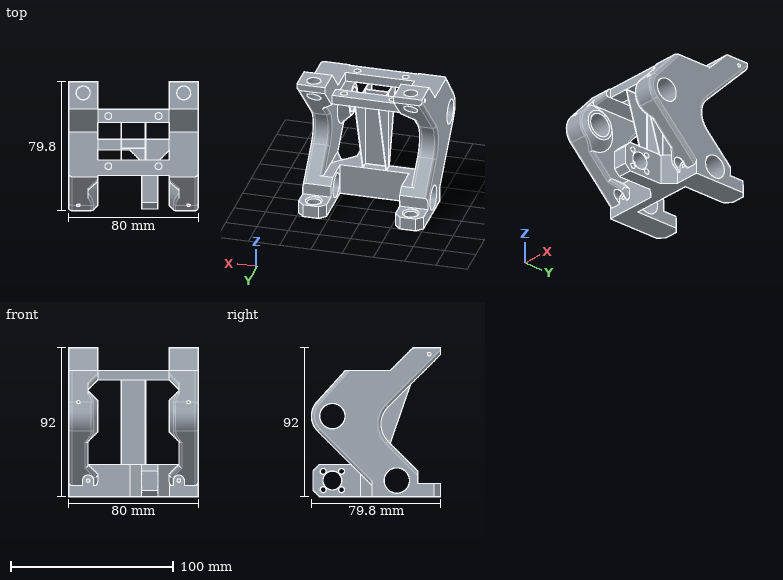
import cadquery as cq
import math

DIAGONAL = math.sqrt(2)
TOLERANCE = 0.01
CUT_LENGTH = 100.0

HALF_WIDTH = 40.0
ARM_INNER_X = 22.0
ARM_WIDTH = HALF_WIDTH - ARM_INNER_X
TOTAL_HEIGHT = 92.0
BACK_Y = 27.0
EDGE_RADIUS = 2.0

LOWER_BORE_Y = 0.0
LOWER_BORE_Z = 10.0
BORE_STEP = 39.75
UPPER_BORE_Y = LOWER_BORE_Y - BORE_STEP
UPPER_BORE_Z = LOWER_BORE_Z + BORE_STEP
BORE_DIAMETER = 15.5
BOSS_RADIUS = 13.0
LIMB_BACK_OFFSET = 13.3

BASE_FRONT_Y = -15.25
DECK_Z = 78.0
DECK_FRONT_Y = -31.75
STRUT_FRONT_Y = 10.0
STRUT_THICKNESS = 15.0
WAIST_RADIUS = 15.0
FOOT_START_Y = 13.0
FOOT_HEIGHT = 8.25
FOOT_CHAMFER = 4.0

LIMB_FRONT_SUM = LOWER_BORE_Y + LOWER_BORE_Z - BOSS_RADIUS * DIAGONAL
LIMB_BACK_SUM = LOWER_BORE_Y + LOWER_BORE_Z + LIMB_BACK_OFFSET * DIAGONAL
STRUT_FRONT_RISE = TOTAL_HEIGHT - STRUT_FRONT_Y
STRUT_BACK_RISE = STRUT_FRONT_RISE - STRUT_THICKNESS * DIAGONAL
WAIST_CORNER_Y = (LIMB_BACK_SUM - STRUT_BACK_RISE) / 2
WAIST_CORNER_Z = (LIMB_BACK_SUM + STRUT_BACK_RISE) / 2
WAIST_FRONT_Y = WAIST_CORNER_Y + WAIST_RADIUS * (DIAGONAL - 1)

LIMB_TANGENT_ANGLE = 225
FRONT_ANGLE = 180
BROW_TANGENT_ANGLE = math.degrees(
    math.atan2(DECK_Z - UPPER_BORE_Z, DECK_FRONT_Y - UPPER_BORE_Y)
    + math.acos(BOSS_RADIUS / math.hypot(DECK_Z - UPPER_BORE_Z, DECK_FRONT_Y - UPPER_BORE_Y))
)

POCKET_DEPTH = 6.0
POCKET_X = ARM_INNER_X + POCKET_DEPTH
BOSS_FACE_RADIUS = 9.75

BASE_HEIGHT = 20.0
BASE_BACK_Y = -8.5
BAR_BOTTOM_Z = 72.0
FRONT_BAR_Y = (-31.0, -21.25)
REAR_BAR_Y = (1.75, STRUT_FRONT_Y)
BAR_HOLE_SPACING = 31.0
BAR_HOLE_REAR_Y = 5.75
BAR_HOLE_DIAMETER = 4.2
BAR_HOLE_DEPTH = 5.0

WEB_WIDTH = 15.5
WEB_WALL = 0.5
WEB_BACK_Y = 9.5
WEB_PANEL_Y = -14.1

BLOCK_X = (5.0, 15.0)
BLOCK_FRONT_Y = -51.75
BLOCK_CHAMFER = 4.0
BLOCK_BORE_DIAMETER = 11.5
BLOCK_SCREW_CIRCLE = 16.0
BLOCK_SCREW_DIAMETER = 3.5
BLOCK_SCREW_COUNT = 4
BLOCK_SCREW_START_ANGLE = 45
GUSSET_LEG = 7.25

ROD_X = (ARM_INNER_X + HALF_WIDTH) / 2
ROD_Y = 20.0
STRUT_ROD_DIAMETER = 8.6
FOOT_ROD_DIAMETER = 8.4
FOOT_ROD_DEPTH = 7.0
FOOT_ROD_CHAMFER = 1.0

SCREW_DIAMETER = 2.2
ROD_SCREW_Z = 88.0
UPPER_SCREW_X = 34.0
LOWER_SCREW_X = 28.0
SCREW_SEAT_RADIUS = 3.4


def boss_point(angle):
    """Point (y, z) on the round outline about the upper bore."""
    turn = math.radians(angle)
    return (UPPER_BORE_Y + BOSS_RADIUS * math.cos(turn), UPPER_BORE_Z + BOSS_RADIUS * math.sin(turn))


def box(x, y, z):
    """Box between (low, high) pairs along each axis."""
    size = (x[1] - x[0], y[1] - y[0], z[1] - z[0])
    return cq.Workplane("XY", origin=(x[0], y[0], z[0])).box(*size, centered=False)


def cylinder(diameter, length, start, direction):
    solid = cq.Solid.makeCylinder(diameter / 2, length, cq.Vector(*start), cq.Vector(*direction))
    return cq.Workplane(obj=solid)


def arm_blank():
    leg = WAIST_RADIUS / DIAGONAL
    return (
        cq.Workplane("YZ", origin=(ARM_INNER_X, 0, 0))
        .moveTo(BACK_Y, 0)
        .lineTo(BASE_FRONT_Y, 0)
        .lineTo(BASE_FRONT_Y, LIMB_FRONT_SUM - BASE_FRONT_Y)
        .lineTo(*boss_point(LIMB_TANGENT_ANGLE))
        .threePointArc(boss_point(FRONT_ANGLE), boss_point(BROW_TANGENT_ANGLE))
        .lineTo(DECK_FRONT_Y, DECK_Z)
        .lineTo(DECK_Z - STRUT_FRONT_RISE, DECK_Z)
        .lineTo(STRUT_FRONT_Y, TOTAL_HEIGHT)
        .lineTo(BACK_Y, TOTAL_HEIGHT)
        .lineTo(BACK_Y, BACK_Y + STRUT_BACK_RISE)
        .lineTo(WAIST_CORNER_Y + leg, WAIST_CORNER_Z + leg)
        .threePointArc((WAIST_FRONT_Y, WAIST_CORNER_Z), (WAIST_CORNER_Y + leg, WAIST_CORNER_Z - leg))
        .lineTo(FOOT_START_Y, LIMB_BACK_SUM - FOOT_START_Y)
        .lineTo(FOOT_START_Y, FOOT_HEIGHT)
        .lineTo(BACK_Y, FOOT_HEIGHT)
        .close()
        .extrude(ARM_WIDTH)
    )


def arm_pocket():
    """Recess in the inner side, leaving a cone around the upper bore."""
    recess = (
        cq.Workplane("XZ")
        .moveTo(ARM_INNER_X, BASE_HEIGHT)
        .lineTo(POCKET_X, BASE_HEIGHT)
        .lineTo(POCKET_X, BAR_BOTTOM_Z - POCKET_DEPTH)
        .lineTo(ARM_INNER_X, BAR_BOTTOM_Z)
        .close()
        .extrude(CUT_LENGTH, both=True)
    )
    sloped_floor = (
        cq.Workplane("XZ", origin=(0, BASE_FRONT_Y + POCKET_DEPTH, 0))
        .moveTo(ARM_INNER_X, BASE_HEIGHT - POCKET_DEPTH)
        .lineTo(POCKET_X, BASE_HEIGHT)
        .lineTo(ARM_INNER_X, BASE_HEIGHT)
        .close()
        .extrude(CUT_LENGTH)
    )
    cone = cq.Solid.makeCone(
        BOSS_FACE_RADIUS,
        BOSS_FACE_RADIUS + POCKET_DEPTH,
        POCKET_DEPTH,
        cq.Vector(ARM_INNER_X, UPPER_BORE_Y, UPPER_BORE_Z),
        cq.Vector(1, 0, 0),
    )
    return recess.union(sloped_floor).cut(cq.Workplane(obj=cone))


def rim_points():
    """A point on each sloping or round rim face of the arm, outside the pocket."""
    x = (POCKET_X + HALF_WIDTH) / 2
    limb_y, limb_z = boss_point(LIMB_TANGENT_ANGLE)
    brow_y, brow_z = boss_point(BROW_TANGENT_ANGLE)
    strut_y = (BACK_Y + WAIST_CORNER_Y) / 2
    limb_back_y = (FOOT_START_Y + WAIST_CORNER_Y + WAIST_RADIUS / DIAGONAL) / 2
    limb_front_y = (limb_y + BASE_FRONT_Y) / 2
    return {
        "limb front": (x, limb_front_y, LIMB_FRONT_SUM - limb_front_y),
        "boss": (x, *boss_point(FRONT_ANGLE)),
        "brow": (x, (brow_y + DECK_FRONT_Y) / 2, (brow_z + DECK_Z) / 2),
        "waist": (x, WAIST_FRONT_Y, WAIST_CORNER_Z),
        "strut back": (x, strut_y, strut_y + STRUT_BACK_RISE),
        "limb back": (x, limb_back_y, LIMB_BACK_SUM - limb_back_y),
    }


def rim_edges(body, point, x_low, x_high):
    """Edges within an X range that border the face nearest to a point."""
    edges = body.faces(cq.NearestToPointSelector(point)).edges().vals()
    chosen = []
    for edge in edges:
        bounds = edge.BoundingBox()
        if bounds.xmin > x_low - TOLERANCE and bounds.xmax < x_high + TOLERANCE:
            chosen.append(edge)
    return chosen


def slanted(edges):
    """Edges that run across X, not at a constant X."""
    return [edge for edge in edges if edge.BoundingBox().xlen > TOLERANCE]


def rounded_arm():
    rims = rim_points()
    body = arm_blank()

    outer = []
    for point in rims.values():
        outer += rim_edges(body, point, HALF_WIDTH, HALF_WIDTH)
    body = body.newObject(outer).fillet(EDGE_RADIUS)

    body = body.cut(arm_pocket())
    front = rim_edges(body, rims["limb front"], ARM_INNER_X, POCKET_X)
    front += rim_edges(body, rims["boss"], ARM_INNER_X, POCKET_X)
    front += slanted(rim_edges(body, rims["brow"], ARM_INNER_X, POCKET_X))
    body = body.newObject(front).fillet(EDGE_RADIUS)

    back = rim_edges(body, rims["waist"], ARM_INNER_X, POCKET_X)
    return body.newObject(back).fillet(EDGE_RADIUS)


def arm():
    body = rounded_arm()
    foot_corners = cq.selectors.BoxSelector(
        (ARM_INNER_X - TOLERANCE, BACK_Y - TOLERANCE, 0),
        (HALF_WIDTH + TOLERANCE, BACK_Y + TOLERANCE, FOOT_HEIGHT - TOLERANCE),
    )
    return body.edges("|Z").edges(foot_corners).chamfer(FOOT_CHAMFER)


def bars():
    x = (-ARM_INNER_X, ARM_INNER_X)
    z = (BAR_BOTTOM_Z, DECK_Z)
    holes = (
        cq.Workplane("XY", origin=(0, BAR_HOLE_REAR_Y - BAR_HOLE_SPACING / 2, DECK_Z))
        .rect(BAR_HOLE_SPACING, BAR_HOLE_SPACING, forConstruction=True)
        .vertices()
        .circle(BAR_HOLE_DIAMETER / 2)
        .extrude(-BAR_HOLE_DEPTH)
    )
    return box(x, FRONT_BAR_Y, z).union(box(x, REAR_BAR_Y, z)).cut(holes)


def web():
    half = WEB_WIDTH / 2
    wall = (
        cq.Workplane("YZ", origin=(-half, 0, 0))
        .moveTo(BASE_BACK_Y, BASE_HEIGHT)
        .lineTo(WEB_BACK_Y, BAR_BOTTOM_Z)
        .lineTo(FRONT_BAR_Y[0], BAR_BOTTOM_Z)
        .lineTo(BASE_FRONT_Y, BASE_HEIGHT)
        .close()
        .extrude(WEB_WALL)
    )
    panel_y = (WEB_PANEL_Y - WEB_WALL / 2, WEB_PANEL_Y + WEB_WALL / 2)
    panel = box((-half, half), panel_y, (BASE_HEIGHT, BAR_BOTTOM_Z))
    return wall.union(wall.mirror("YZ")).union(panel)


def base():
    z = (0, BASE_HEIGHT)
    bar = box((-POCKET_X, ARM_INNER_X), (BASE_FRONT_Y, BASE_BACK_Y), z)
    block = box(BLOCK_X, (BLOCK_FRONT_Y, BASE_FRONT_Y), z)
    block = block.faces("<Y").edges("|X").chamfer(BLOCK_CHAMFER)

    left, right = BLOCK_X
    gusset_y = BASE_FRONT_Y - GUSSET_LEG
    gussets = (
        cq.Workplane("XY")
        .moveTo(left - GUSSET_LEG, BASE_BACK_Y)
        .lineTo(left - GUSSET_LEG, BASE_FRONT_Y)
        .lineTo(left, gusset_y)
        .lineTo(right, gusset_y)
        .lineTo(POCKET_X, gusset_y + POCKET_X - right)
        .lineTo(POCKET_X, BASE_BACK_Y)
        .close()
        .extrude(BASE_HEIGHT)
    )
    bore = cylinder(BLOCK_BORE_DIAMETER, right, (0, UPPER_BORE_Y, LOWER_BORE_Z), (1, 0, 0))
    screws = (
        cq.Workplane("YZ")
        .center(UPPER_BORE_Y, LOWER_BORE_Z)
        .polarArray(BLOCK_SCREW_CIRCLE / 2, BLOCK_SCREW_START_ANGLE, 360, BLOCK_SCREW_COUNT)
        .circle(BLOCK_SCREW_DIAMETER / 2)
        .extrude(right)
    )
    return bar.union(block).union(gussets).cut(bore).cut(screws)


def bore_cuts():
    """Both bores of the right arm with their set screws."""
    lower_axis = (LOWER_BORE_Y, LOWER_BORE_Z)
    upper_axis = (UPPER_BORE_Y, UPPER_BORE_Z)
    lower = cylinder(BORE_DIAMETER, ARM_WIDTH, (ARM_INNER_X, *lower_axis), (1, 0, 0))
    upper = cylinder(BORE_DIAMETER, ARM_WIDTH, (ARM_INNER_X, *upper_axis), (1, 0, 0))

    brow = math.radians(BROW_TANGENT_ANGLE)
    screw_length = 2 * BOSS_RADIUS
    brow_normal = (0, math.cos(brow), math.sin(brow))
    upper_screw = cylinder(SCREW_DIAMETER, screw_length, (UPPER_SCREW_X, *upper_axis), brow_normal)
    lower_screw = cylinder(SCREW_DIAMETER, screw_length, (LOWER_SCREW_X, *lower_axis), (0, -1, 0))

    seat_start = (LOWER_SCREW_X, BASE_FRONT_Y, LOWER_BORE_Z)
    seat_top = cylinder(2 * SCREW_SEAT_RADIUS, BOSS_RADIUS, seat_start, (0, -1, 0))
    seat_slot = box(
        (LOWER_SCREW_X - SCREW_SEAT_RADIUS, LOWER_SCREW_X + SCREW_SEAT_RADIUS),
        (BASE_FRONT_Y - BOSS_RADIUS, BASE_FRONT_Y),
        (0, LOWER_BORE_Z),
    )
    return [lower, upper, lower_screw, upper_screw, seat_top, seat_slot]


def rod_cuts():
    """Rod seats of the right arm with the set screw in the strut."""
    strut_depth = TOTAL_HEIGHT - ROD_Y - STRUT_BACK_RISE + STRUT_ROD_DIAMETER
    strut_seat = cylinder(STRUT_ROD_DIAMETER, strut_depth, (ROD_X, ROD_Y, TOTAL_HEIGHT), (0, 0, -1))
    foot_seat = cylinder(FOOT_ROD_DIAMETER, FOOT_ROD_DEPTH, (ROD_X, ROD_Y, FOOT_HEIGHT), (0, 0, -1))
    foot_chamfer = cq.Solid.makeCone(
        FOOT_ROD_DIAMETER / 2,
        FOOT_ROD_DIAMETER / 2 + FOOT_ROD_CHAMFER,
        FOOT_ROD_CHAMFER,
        cq.Vector(ROD_X, ROD_Y, FOOT_HEIGHT - FOOT_ROD_CHAMFER),
    )
    screw = cylinder(SCREW_DIAMETER, HALF_WIDTH - ROD_X, (ROD_X, ROD_Y, ROD_SCREW_Z), (1, 0, 0))
    return [strut_seat, foot_seat, cq.Workplane(obj=foot_chamfer), screw]


right_arm = arm()
result = right_arm.union(right_arm.mirror("YZ")).union(bars()).union(base()).union(web())
for cut in bore_cuts() + rod_cuts():
    result = result.cut(cut).cut(cut.mirror("YZ"))